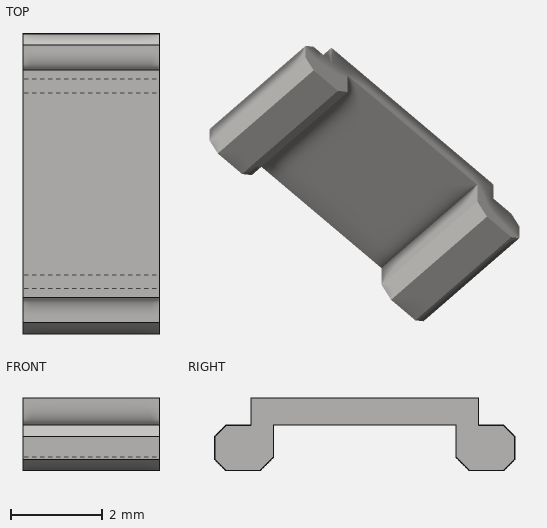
import cadquery as cq

width = 3.0
overall_length = 6.6
plate_length = 5.0
gap_length = 4.0
overall_height = 1.6
plate_thickness = 0.6
outer_chamfer = 0.25
inner_chamfer = 0.3

foot_height = overall_height - plate_thickness


def make_plate():
    """Flat top plate, resting on the feet."""
    return cq.Workplane("XY", origin=(0, 0, foot_height)).box(
        width, plate_length, plate_thickness, centered=(True, True, False)
    )


def make_foot(side):
    """Chamfered foot running along X; side is +1 for the +Y end, -1 for the -Y end."""
    outer = side * overall_length / 2
    inner = side * gap_length / 2
    outer_flat = outer - side * outer_chamfer
    inner_flat = inner + side * inner_chamfer
    profile = [
        (inner, foot_height),
        (outer_flat, foot_height),
        (outer, foot_height - outer_chamfer),
        (outer, outer_chamfer),
        (outer_flat, 0),
        (inner_flat, 0),
        (inner, inner_chamfer),
    ]
    return cq.Workplane("YZ").polyline(profile).close().extrude(width / 2, both=True)


def make_clip():
    """Plate joined to a foot at each end."""
    clip = make_plate()
    for side in (1, -1):
        clip = clip.union(make_foot(side))
    return clip.clean()


result = make_clip()